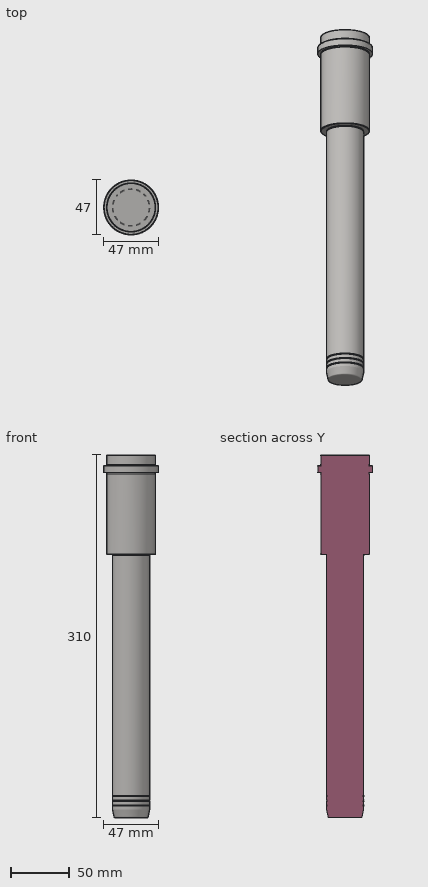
import cadquery as cq

total_length = 310.0
collar_diameter = 47.0
body_diameter = 42.0
shaft_diameter = 32.0

spigot_length = 9.0
collar_thickness = 6.0
body_length = 70.0

spigot_chamfer = 0.5
collar_chamfer = 0.5
body_chamfer = 0.5
relief_width = 1.0
relief_depth = 0.1

lead_in_length = 7.0
tip_diameter = 29.0
tip_fillet = 1.0

groove_count = 3
lowest_groove_height = 10.5
groove_pitch = 4.0
groove_width = 1.0
groove_depth = 0.5

collar_radius = collar_diameter / 2
body_radius = body_diameter / 2
shaft_radius = shaft_diameter / 2
tip_radius = tip_diameter / 2

collar_top = total_length - spigot_length
collar_bottom = collar_top - collar_thickness
body_bottom = collar_bottom - body_length


def make_pillar():
    """Turned pillar: half profile on the -X side of the axis, revolved about Z."""
    profile = (
        cq.Workplane("XZ")
        .lineTo(-tip_radius, 0)
        .lineTo(-shaft_radius, lead_in_length)
        .lineTo(-shaft_radius, body_bottom)
        .lineTo(-(body_radius - body_chamfer), body_bottom)
        .lineTo(-body_radius, body_bottom + body_chamfer)
        .lineTo(-body_radius, collar_bottom)
        .lineTo(-collar_radius, collar_bottom)
        .lineTo(-collar_radius, collar_top - collar_chamfer)
        .lineTo(-(collar_radius - collar_chamfer), collar_top)
        .lineTo(-body_radius, collar_top)
        .lineTo(-body_radius, total_length - spigot_chamfer)
        .lineTo(-(body_radius - spigot_chamfer), total_length)
        .lineTo(0, total_length)
        .close()
    )
    pillar = profile.revolve(360, (0, 0), (0, 1))
    return pillar.faces("<Z").edges().fillet(tip_fillet)


def make_relief(surface_radius, bottom):
    """Ring that cuts a shallow square relief into a cylinder, upward from the given height."""
    return (
        cq.Workplane("XZ")
        .moveTo(-surface_radius, bottom)
        .hLine(relief_depth)
        .vLine(relief_width)
        .hLine(-relief_depth)
        .close()
        .revolve(360, (0, 0), (0, 1))
    )


def make_oil_groove(height):
    """Ring that cuts a V groove into the shaft, centred on the given height."""
    return (
        cq.Workplane("XZ")
        .moveTo(-shaft_radius, height - groove_width / 2)
        .lineTo(-shaft_radius + groove_depth, height)
        .lineTo(-shaft_radius, height + groove_width / 2)
        .close()
        .revolve(360, (0, 0), (0, 1))
    )


result = make_pillar()
for index in range(groove_count):
    result = result.cut(make_oil_groove(lowest_groove_height + index * groove_pitch))

result = result.cut(make_relief(body_radius, collar_top))
result = result.cut(make_relief(body_radius, collar_bottom - relief_width))
result = result.cut(make_relief(shaft_radius, body_bottom - relief_width))